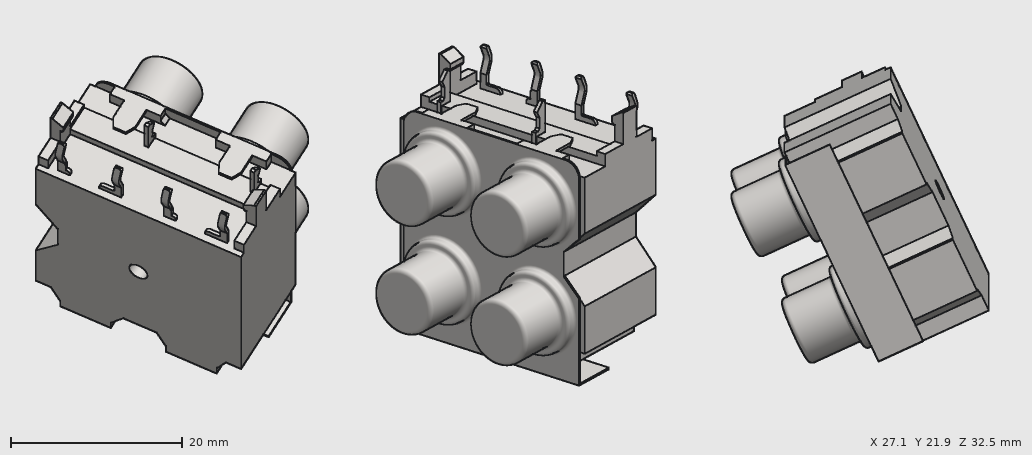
import cadquery as cq
import math


width = 27.15
half_width = width / 2
housing_depth = 13.68
housing_bottom = 4.22
deck_z = 26.9
rim_z = 28.5
jack_center_z = 15.0
jack_pitch = 13.98
jack_columns = (-jack_pitch / 2, jack_pitch / 2)
jack_rows = (jack_center_z - jack_pitch / 2, jack_center_z + jack_pitch / 2)
screw_hole_diameter = 2.4

notch_mouth_half = 4.68
notch_floor_half = 1.55
notch_floor_x = -10.63
plate_notch_mouth_half = 3.8

foot_bottom = 1.17
foot_slope_bottom = 2.25
foot_half_width = 3.35
foot_outer_flare = 1.25
foot_left_inner_flare = 1.65
foot_right_inner_flare = 1.25

post_width = 1.27
post_front_y = 0.7
post_back_y = 9.75
ridge_front_y = 6.25
ridge_z = 27.92

latch_front_y = 3.75
latch_back_y = 6.27
top_z = 32.5
latch_tip_width = 0.25
latch_hook_width = 1.7
latch_hook_top = 31.62
latch_hook_bottom = 30.95
latch_neck_width = 1.5
latch_neck_z = 30.6

plate_thickness = 0.23
plate_half_width = 12.9
plate_corner_radius = 1.95
plate_back_y = housing_depth + plate_thickness
flange_front_y = 8.15

block_front_y = 12.48
gusset_size = 0.6
tongue_half_width = 1.45
tongue_tip_half_width = 0.85
tongue_taper_y = 9.75
tongue_tip_y = 8.5
tongue_bottom_z = 28.15

barrel_radius = 4.15
barrel_end_y = 21.9
barrel_end_round = 0.6
barrel_root_round = 0.45
collar_radius = 5.25
collar_top_y = 15.2
collar_round = 0.45
collar_flare = 0.4

pin_offset = 3.75
pin_half_width = 0.45
pin_tip_round = 0.3
pin_thickness = 0.45
pin_front_y = 1.0
pin_straight_z = 28.9
pin_bend_z = 30.75
pin_bend_out = 0.7
pin_tip_shift = 0.23
pin_end_chamfer = 0.23
pin_bend_round = 1.43
pin_foot_z = 27.6
pin_short_foot = 0.68
pin_long_foot = 2.05
pin_short_foot_round = 0.4
pin_long_foot_round = 0.62
pin_shoulder = 0.13
pin_shoulder_z = 28.6

blade_thickness = 0.52
blade_front_y = 8.2
blade_tip_y = 8.65
blade_hook_y = 9.7
blade_neck_y = 9.23
blade_root_y = 10.0
blade_top_z = 32.05
blade_hook_z = 30.97
blade_neck_top_z = 30.13
blade_neck_bottom_z = 28.75
blade_root_z = 28.47


def box(x0, x1, y0, y1, z0, z1):
    """Box given by its limits along each axis."""
    return cq.Workplane("XY").box(x1 - x0, y1 - y0, z1 - z0, centered=False).translate((x0, y0, z0))


def slab(outline, y0, y1):
    """Outline of (x, z) points extruded from y0 to y1."""
    return cq.Workplane("XZ", origin=(0, y0, 0)).polyline(outline).close().extrude(y0 - y1)


def side_profile(outline, x_center, thickness):
    """Outline of (y, z) points extruded along X about x_center."""
    plane = cq.Workplane("YZ", origin=(x_center, 0, 0))
    return plane.polyline(outline).close().extrude(thickness / 2, both=True)


def notch(edge_x, mouth_half, y0, y1):
    """Trapezoidal cutter for the notch in the -X edge."""
    return slab(
        [
            (edge_x, jack_center_z - mouth_half),
            (notch_floor_x, jack_center_z - notch_floor_half),
            (notch_floor_x, jack_center_z + notch_floor_half),
            (edge_x, jack_center_z + mouth_half),
        ],
        y0,
        y1,
    )


def foot(x_center, left_flare, right_flare):
    """Locating foot, flared where it meets the housing."""
    left = x_center - foot_half_width
    right = x_center + foot_half_width
    return slab(
        [
            (left - left_flare, housing_bottom),
            (left, foot_slope_bottom),
            (left, foot_bottom),
            (right, foot_bottom),
            (right, foot_slope_bottom),
            (right + right_flare, housing_bottom),
        ],
        0,
        housing_depth,
    )


def housing():
    body = box(-half_width, half_width, 0, housing_depth, housing_bottom, deck_z)
    body = body.cut(notch(-half_width, notch_mouth_half, 0, housing_depth))
    left_x, right_x = jack_columns
    body = body.union(foot(left_x, foot_outer_flare, foot_left_inner_flare))
    body = body.union(foot(right_x, foot_right_inner_flare, foot_outer_flare))
    for x0 in (-half_width, half_width - post_width):
        body = body.union(box(x0, x0 + post_width, post_front_y, post_back_y, deck_z, rim_z))
    ridge_half = half_width - post_width
    return body.union(box(-ridge_half, ridge_half, ridge_front_y, post_back_y, deck_z, ridge_z))


def latch(side):
    """Snap latch at the outer edge; side is -1 or +1 and the hook points inward."""
    steps = [
        (0, deck_z),
        (0, top_z),
        (latch_tip_width, top_z),
        (latch_hook_width, latch_hook_top),
        (latch_hook_width, latch_hook_bottom),
        (latch_neck_width, latch_neck_z),
        (post_width, latch_neck_z),
        (post_width, deck_z),
    ]
    outline = [(side * (half_width - inset), z) for inset, z in steps]
    return slab(outline, latch_front_y, latch_back_y)


def mounting_plate():
    plate = box(-plate_half_width, plate_half_width, housing_depth, plate_back_y, 0, rim_z)
    plate = plate.edges("|Y and >Z").fillet(plate_corner_radius)
    plate = plate.cut(notch(-plate_half_width, plate_notch_mouth_half, housing_depth, plate_back_y))
    flange = box(-plate_half_width, plate_half_width, flange_front_y, plate_back_y, 0, plate_thickness)
    return plate.union(flange)


def plate_block(x_center):
    """Block on the plate with a tapered tongue reaching out over the ridge."""
    left = x_center - foot_half_width
    right = x_center + foot_half_width
    block = box(left, right, block_front_y, housing_depth, deck_z, rim_z)
    tongue = (
        cq.Workplane("XY", origin=(x_center, 0, tongue_bottom_z))
        .polyline(
            [
                (-tongue_half_width, block_front_y),
                (-tongue_half_width, tongue_taper_y),
                (-tongue_tip_half_width, tongue_tip_y),
                (tongue_tip_half_width, tongue_tip_y),
                (tongue_half_width, tongue_taper_y),
                (tongue_half_width, block_front_y),
            ]
        )
        .close()
        .extrude(rim_z - tongue_bottom_z)
    )
    return block.union(tongue)


def block_gusset():
    """Small triangular gusset at the inner end of the left block."""
    wall_x = jack_columns[0] + foot_half_width
    outline = [(wall_x, deck_z), (wall_x + gusset_size, deck_z), (wall_x, deck_z + gusset_size)]
    return slab(outline, block_front_y, housing_depth)


def jack(x, z):
    """Phono jack barrel on a rounded, flared collar, revolved about its own Y axis."""
    diagonal = math.sqrt(0.5)
    round_end = barrel_end_y - barrel_end_round
    round_inner = barrel_radius - barrel_end_round
    root_outer = barrel_radius + barrel_root_round
    root_y = collar_top_y + barrel_root_round
    collar_inner = collar_radius - collar_round
    collar_side_y = collar_top_y - collar_round
    flare_outer = collar_radius + collar_flare
    flare_y = plate_back_y + collar_flare
    profile = (
        cq.Workplane("XY")
        .moveTo(0, housing_depth)
        .lineTo(0, barrel_end_y)
        .lineTo(round_inner, barrel_end_y)
        .threePointArc(
            (round_inner + barrel_end_round * diagonal, round_end + barrel_end_round * diagonal),
            (barrel_radius, round_end),
        )
        .lineTo(barrel_radius, root_y)
        .threePointArc(
            (root_outer - barrel_root_round * diagonal, root_y - barrel_root_round * diagonal),
            (root_outer, collar_top_y),
        )
        .lineTo(collar_inner, collar_top_y)
        .threePointArc(
            (collar_inner + collar_round * diagonal, collar_side_y + collar_round * diagonal),
            (collar_radius, collar_side_y),
        )
        .lineTo(collar_radius, flare_y)
        .threePointArc(
            (flare_outer - collar_flare * diagonal, flare_y - collar_flare * diagonal),
            (flare_outer, plate_back_y),
        )
        .lineTo(flare_outer, housing_depth)
        .close()
    )
    return profile.revolve(360, (0, 0, 0), (0, 1, 0)).translate((x, 0, z))


def contact_pin(x, foot_length, foot_side, toe_round, shoulder_z):
    """Bent contact pin with a rounded tip, a sideways foot on the deck and a beveled shoulder."""
    bend_front_y = pin_front_y - pin_bend_out
    outline = [
        (pin_front_y, deck_z),
        (pin_front_y, pin_straight_z),
        (bend_front_y, pin_bend_z),
        (pin_front_y + pin_tip_shift - pin_end_chamfer, top_z),
        (pin_front_y + pin_tip_shift, top_z),
        (pin_front_y + pin_thickness, top_z - pin_end_chamfer),
        (bend_front_y + pin_thickness, pin_bend_z),
        (pin_front_y + pin_thickness, pin_straight_z),
        (pin_front_y + pin_thickness, deck_z),
    ]
    pin = side_profile(outline, x, 2 * pin_half_width)
    front_edge = cq.selectors.NearestToPointSelector((x, bend_front_y, pin_bend_z))
    pin = pin.edges(front_edge).fillet(pin_bend_round)
    back_edge = cq.selectors.NearestToPointSelector((x, bend_front_y + pin_thickness, pin_bend_z))
    pin = pin.edges(back_edge).fillet(pin_bend_round - pin_thickness)
    blank = box(x - pin_half_width, x + pin_half_width, 0, housing_depth, deck_z, top_z)
    blank = blank.edges("|Y and >Z").fillet(pin_tip_round)
    pin = pin.intersect(blank)

    back_y = pin_front_y + pin_thickness
    edge_x = x + foot_side * pin_half_width
    toe_x = edge_x + foot_side * foot_length
    foot_bar = box(min(x, toe_x), max(x, toe_x), pin_front_y, back_y, deck_z, pin_foot_z)
    toe_edge = "|Y and >Z and >X" if foot_side > 0 else "|Y and >Z and <X"
    pin = pin.union(foot_bar.edges(toe_edge).fillet(toe_round))
    shoulder = slab(
        [
            (x, deck_z),
            (edge_x + foot_side * pin_shoulder, deck_z),
            (edge_x + foot_side * pin_shoulder, shoulder_z),
            (edge_x, shoulder_z + pin_shoulder),
            (x, shoulder_z + pin_shoulder),
        ],
        pin_front_y,
        back_y,
    )
    return pin.union(shoulder)


def ground_blade(x):
    """Thin hooked blade standing on the ridge."""
    outline = [
        (blade_front_y, deck_z),
        (blade_front_y, blade_top_z),
        (blade_tip_y, blade_top_z),
        (blade_hook_y, blade_hook_z),
        (blade_neck_y, blade_neck_top_z),
        (blade_neck_y, blade_neck_bottom_z),
        (blade_neck_y + blade_neck_bottom_z - blade_root_z, blade_root_z),
        (blade_root_y, blade_root_z),
        (blade_root_y, deck_z),
    ]
    return side_profile(outline, x, blade_thickness)


result = housing().union(mounting_plate()).union(block_gusset())
for side in (-1, 1):
    result = result.union(latch(side))
for column_x in jack_columns:
    result = result.union(plate_block(column_x))
    left_pin_x = column_x - pin_offset
    right_pin_x = column_x + pin_offset
    result = result.union(contact_pin(left_pin_x, pin_short_foot, 1, pin_short_foot_round, pin_shoulder_z))
    result = result.union(contact_pin(right_pin_x, pin_long_foot, -1, pin_long_foot_round, pin_foot_z))
    result = result.union(ground_blade(right_pin_x))
    for row_z in jack_rows:
        result = result.union(jack(column_x, row_z))

screw_hole = (
    cq.Workplane("XZ", origin=(0, 0, jack_center_z)).circle(screw_hole_diameter / 2).extrude(-plate_back_y)
)
result = result.cut(screw_hole)